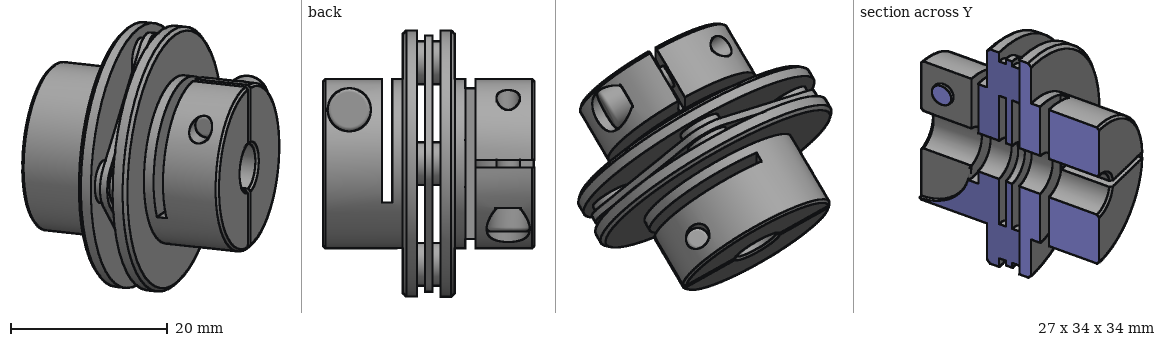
import cadquery as cq
import math


coupling_length = 27.0
bore_radius = 3.0
bore_chamfer = 0.35

flange_radius = 17.0
flange_inner_x = 1.5
flange_thickness = 1.85
flange_chamfer = 0.48
barrel_radius = 10.8
barrel_chamfer = 0.35
end_x = coupling_length / 2
flange_outer_x = flange_inner_x + flange_thickness

slit_outer_x = 5.95
slit_width = 1.3
slit_floor = 4.93
slot_width = 0.95
clamp_length = end_x - slit_outer_x

disc_thickness = 1.0
pad_count = 4
pad_circle_radius = 12.85
pad_radius = 2.75
disc_corner_radius = 3.5

screw_x = 10.13
screw_offset = 6.87
shank_radius = 1.5
head_radius = 2.75
head_height = 3.0
head_seat = 5.68
screw_edge_fillet = 0.5
shank_length = 12.5


def x_cylinder(radius, x_start, x_end):
    return cq.Workplane("YZ").workplane(offset=x_start).circle(radius).extrude(x_end - x_start)


def z_cylinder(radius, z_start, z_end):
    """Cylinder on the axis of the driving hub's screw."""
    plane = cq.Workplane("XY", origin=(-screw_x, screw_offset, z_start))
    return plane.circle(radius).extrude(z_end - z_start)


def hub_blank():
    """Flange, barrel and chamfered bore as one revolved profile on the -X side."""
    profile = [
        (-flange_inner_x, bore_radius),
        (-flange_inner_x, flange_radius),
        (-flange_outer_x + flange_chamfer, flange_radius),
        (-flange_outer_x, flange_radius - flange_chamfer),
        (-flange_outer_x, barrel_radius),
        (-end_x + barrel_chamfer, barrel_radius),
        (-end_x, barrel_radius - barrel_chamfer),
        (-end_x, bore_radius + bore_chamfer),
        (-end_x + bore_chamfer, bore_radius),
    ]
    return cq.Workplane("XY").polyline(profile).close().revolve(360, (0, 0, 0), (1, 0, 0))


def cross_slit():
    """Slit across the barrel, open towards +Y."""
    depth = barrel_radius + slit_floor
    slit = cq.Workplane("XY").box(slit_width, depth, 2 * barrel_radius, centered=(False, False, True))
    return slit.translate((-slit_outer_x, -slit_floor, 0))


def clamp_slot():
    """Slot from the slit to the end face: fully open at +Y, quarter-round run-out at -Y."""
    arc_depth = clamp_length * math.sqrt(0.5)
    outline = (
        cq.Workplane("XY")
        .moveTo(-end_x, barrel_radius)
        .lineTo(-slit_outer_x, barrel_radius)
        .lineTo(-slit_outer_x, -bore_radius)
        .threePointArc(
            (-end_x + arc_depth, -bore_radius - arc_depth),
            (-end_x, -bore_radius - clamp_length),
        )
        .close()
    )
    return outline.extrude(slot_width / 2, both=True)


def screw_hole():
    """Through hole for the shank with a counterbore for the head at -Z."""
    shank_hole = z_cylinder(shank_radius, -barrel_radius, barrel_radius)
    counterbore = z_cylinder(head_radius, -barrel_radius, -head_seat)
    return shank_hole.union(counterbore)


def make_hub():
    return hub_blank().cut(cross_slit()).cut(clamp_slot()).cut(screw_hole())


def make_screw():
    """Cap screw with its head at -Z and rounded edges at both ends."""
    head = z_cylinder(head_radius, -head_seat - head_height, -head_seat)
    head = head.faces("<Z").edges().fillet(screw_edge_fillet)
    shank = z_cylinder(shank_radius, -head_seat, -head_seat + shank_length)
    shank = shank.faces(">Z").edges().fillet(screw_edge_fillet)
    return head.union(shank)


def make_disc_pack():
    """Square disc with rounded corners on the Y and Z axes, and spacer pads through its corners."""
    side = math.sqrt(2) * pad_circle_radius + 2 * disc_corner_radius
    disc = (
        cq.Workplane("YZ")
        .rect(side, side)
        .extrude(disc_thickness / 2, both=True)
        .edges("|X")
        .fillet(disc_corner_radius)
        .rotate((0, 0, 0), (1, 0, 0), 45)
    )
    pad = x_cylinder(pad_radius, -flange_inner_x, flange_inner_x).translate((0, pad_circle_radius, 0))
    for index in range(pad_count):
        disc = disc.union(pad.rotate((0, 0, 0), (1, 0, 0), index * 360 / pad_count))
    return disc.cut(x_cylinder(bore_radius, -flange_inner_x, flange_inner_x))


def to_driven_side(body):
    """Mirror to +X and turn a quarter turn, so that the clamp opens towards +Z."""
    return body.mirror("YZ").rotate((0, 0, 0), (1, 0, 0), 90)


driving_hub = make_hub()
driven_hub = to_driven_side(make_hub()).union(make_disc_pack())
screws = [make_screw(), to_driven_side(make_screw())]

result = cq.Compound.makeCompound(
    [driving_hub.val(), driven_hub.val(), *[screw.val() for screw in screws]]
)